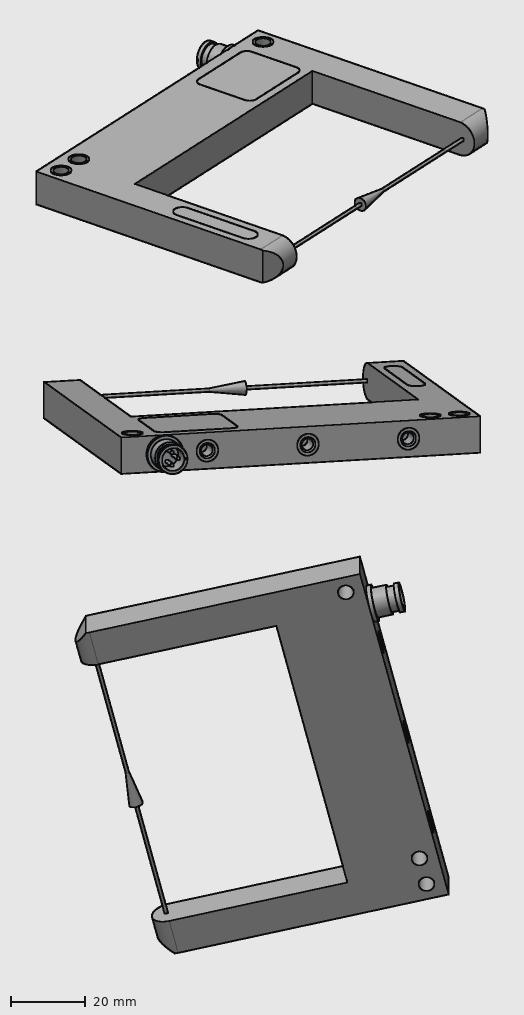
import cadquery as cq
import math

SPINE_WIDTH = 25.5
LENGTH = 100.0
THICKNESS = 10.0
ARM_WIDTH = 10.0
ARM_END = 74.6
TIP_END = 79.4
TIP_CHAMFER = 3.9
HALF_THICKNESS = THICKNESS / 2

RECESS_DEPTH = 0.1

MOUNT_DIAMETER = 4.2
MOUNT_RIM_DIAMETER = 5.6
MOUNT_X = 5.0
MOUNT_EDGE = 4.5
MOUNT_PITCH = 8.0
MOUNT_POSITIONS = [
    (MOUNT_X, MOUNT_EDGE),
    (MOUNT_X, MOUNT_EDGE + MOUNT_PITCH),
    (MOUNT_X, LENGTH - MOUNT_EDGE),
]

SIDE_DIAMETER = 3.2
SIDE_RIM_DIAMETER = 4.2
RIM_ANGLE = 90.0
SIDE_SEAT_DIAMETER = 6.0
SIDE_DEPTH = 6.0
SIDE_PITCH = 28.0
SIDE_FIRST_Y = 20.0
SIDE_COUNT = 3

LABEL_WIDTH = 19.2
LABEL_LENGTH = 23.2
LABEL_CORNER = 2.2
LABEL_X = 13.3
LABEL_Y = LENGTH - 22.4
WINDOW_LENGTH = 27.0
WINDOW_WIDTH = 5.0
WINDOW_X = 56.0

CONNECTOR_Y = LENGTH - 12.0
CONNECTOR_LENGTH = 88.0 - TIP_END
FLANGE_DIAMETER = 10.0
FLANGE_LENGTH = 1.2
BARREL_DIAMETER = 8.2
LIP_DIAMETER = 8.0
GROOVE_DIAMETER = 7.0
GROOVE_WIDTH = 2.1
LIP_LENGTH = 1.3
SOCKET_DIAMETER = 6.2
SOCKET_DEPTH = 6.0
PIN_DIAMETER = 1.0
PIN_LENGTH = 5.0
PIN_CIRCLE_RADIUS = 1.7
PIN_ANGLES = (90, 180, 270)
MARK_DIAMETER = 0.6
MARK_DEPTH = 0.3

BEAM_DIAMETER = 1.0
BEAM_X = 75.4
ARROW_DIAMETER = 3.8
ARROW_BASE_Y = 44.0
ARROW_LENGTH = 10.0


def side_cylinder(diameter, x_start, length, y, z=HALF_THICKNESS):
    """Cylinder along +X that starts at x_start."""
    return (
        cq.Workplane("YZ", origin=(x_start, y, z))
        .circle(diameter / 2)
        .extrude(length)
    )


def make_fork():
    outline = [
        (0, 0),
        (TIP_END - TIP_CHAMFER, 0),
        (TIP_END, TIP_CHAMFER),
        (TIP_END, ARM_WIDTH),
        (SPINE_WIDTH, ARM_WIDTH),
        (SPINE_WIDTH, LENGTH - ARM_WIDTH),
        (TIP_END, LENGTH - ARM_WIDTH),
        (TIP_END, LENGTH - TIP_CHAMFER),
        (TIP_END - TIP_CHAMFER, LENGTH),
        (0, LENGTH),
    ]
    plate = cq.Workplane("XY").polyline(outline).close().extrude(THICKNESS)
    side_profile = (
        cq.Workplane("XZ")
        .lineTo(ARM_END, 0)
        .threePointArc((TIP_END, HALF_THICKNESS), (ARM_END, THICKNESS))
        .lineTo(0, THICKNESS)
        .close()
        .extrude(-LENGTH)
    )
    return plate.intersect(side_profile)


def cut_mounting_holes(body):
    return (
        body.faces(">Z").workplane(origin=(0, 0, THICKNESS))
        .pushPoints(MOUNT_POSITIONS)
        .cboreHole(MOUNT_DIAMETER, MOUNT_RIM_DIAMETER, RECESS_DEPTH)
    )


def cut_top_recesses(body):
    floor = cq.Workplane("XY", origin=(0, 0, THICKNESS - RECESS_DEPTH))
    label = (
        floor.center(LABEL_X, LABEL_Y)
        .rect(LABEL_WIDTH, LABEL_LENGTH)
        .extrude(RECESS_DEPTH)
        .edges("|Z").fillet(LABEL_CORNER)
    )
    window = (
        floor.center(WINDOW_X, ARM_WIDTH / 2)
        .slot2D(WINDOW_LENGTH, WINDOW_WIDTH)
        .extrude(RECESS_DEPTH)
    )
    return body.cut(label).cut(window)


def cut_side_holes(body):
    for index in range(SIDE_COUNT):
        y = SIDE_FIRST_Y + index * SIDE_PITCH
        body = body.cut(side_cylinder(SIDE_SEAT_DIAMETER, 0, RECESS_DEPTH, y))
        body = (
            body.copyWorkplane(cq.Workplane("YZ", origin=(RECESS_DEPTH, y, HALF_THICKNESS)))
            .transformed(rotate=(0, 180, 0))
            .cskHole(SIDE_DIAMETER, SIDE_RIM_DIAMETER, RIM_ANGLE, SIDE_DEPTH)
        )
    return body


def make_connector():
    tip_x = -CONNECTOR_LENGTH
    flange = side_cylinder(FLANGE_DIAMETER, -FLANGE_LENGTH, FLANGE_LENGTH, CONNECTOR_Y)
    lip = side_cylinder(LIP_DIAMETER, tip_x, LIP_LENGTH, CONNECTOR_Y)
    neck = side_cylinder(GROOVE_DIAMETER, tip_x, CONNECTOR_LENGTH, CONNECTOR_Y)
    barrel_x = tip_x + LIP_LENGTH + GROOVE_WIDTH
    barrel = side_cylinder(BARREL_DIAMETER, barrel_x, -barrel_x, CONNECTOR_Y)
    socket = side_cylinder(SOCKET_DIAMETER, tip_x, SOCKET_DEPTH, CONNECTOR_Y)
    connector = neck.union(lip).union(barrel).union(flange).cut(socket)

    mark_y = CONNECTOR_Y - (SOCKET_DIAMETER + LIP_DIAMETER) / 4
    connector = connector.cut(side_cylinder(MARK_DIAMETER, tip_x, MARK_DEPTH, mark_y))

    for angle in PIN_ANGLES:
        y = CONNECTOR_Y + PIN_CIRCLE_RADIUS * math.cos(math.radians(angle))
        z = HALF_THICKNESS + PIN_CIRCLE_RADIUS * math.sin(math.radians(angle))
        pin_x = tip_x + SOCKET_DEPTH - PIN_LENGTH
        connector = connector.union(side_cylinder(PIN_DIAMETER, pin_x, PIN_LENGTH, y, z))
    return connector


def make_housing():
    body = cut_mounting_holes(make_fork())
    body = cut_top_recesses(body)
    body = cut_side_holes(body)
    return body.union(make_connector())


def make_beam():
    """Half profile of rod and arrowhead, turned about the beam axis."""
    rod_radius = BEAM_DIAMETER / 2
    return (
        cq.Workplane("XY", origin=(BEAM_X, 0, HALF_THICKNESS))
        .moveTo(0, ARM_WIDTH)
        .lineTo(rod_radius, ARM_WIDTH)
        .lineTo(rod_radius, ARROW_BASE_Y)
        .lineTo(ARROW_DIAMETER / 2, ARROW_BASE_Y)
        .lineTo(rod_radius, ARROW_BASE_Y + ARROW_LENGTH)
        .lineTo(rod_radius, LENGTH - ARM_WIDTH)
        .lineTo(0, LENGTH - ARM_WIDTH)
        .close()
        .revolve(360, (0, 0, 0), (0, 1, 0))
    )


housing = make_housing()
beam = make_beam()
result = cq.Compound.makeCompound([housing.val(), beam.val()])